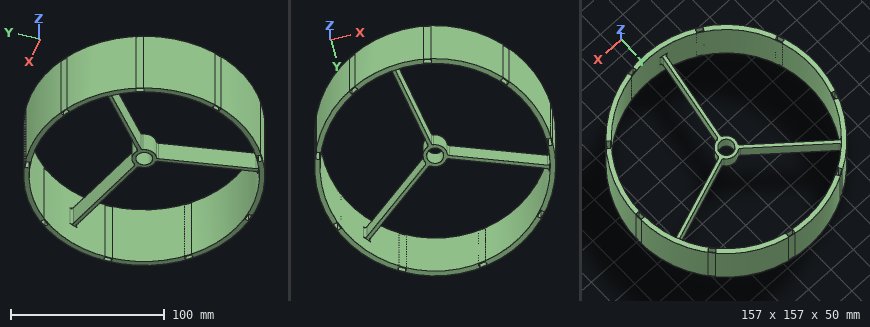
import cadquery as cq
import math

outer_radius = 78.5
height = 50.0
wall = 3.6
inner_radius = outer_radius - wall

slot_count = 9
slot_length = 5.0
slot_depth = 2.5
slot_radius = outer_radius - wall / 2

hub_radius = 8.0
bore_radius = 5.5
hub_height = 15.0
hub_base = (height - hub_height) / 2
spoke_count = 3
spoke_start_angle = 20.0
spoke_width = 2.5
fillet_radius = 1.5


def tube(outside, inside, length):
    return cq.Workplane("XY").circle(outside).circle(inside).extrude(length)


def spoke(angle):
    """Straight spoke from the hub into the ring wall."""
    start = (hub_radius + bore_radius) / 2
    end = inner_radius + wall / 4
    size = (end - start, spoke_width, hub_height)
    bar = cq.Workplane("XY").box(*size, centered=(False, True, False))
    return bar.translate((start, 0, hub_base)).rotate((0, 0, 0), (0, 0, 1), angle)


def spoke_corners():
    """Vertical edges where the spoke sides meet the hub and the ring."""
    half_width = spoke_width / 2
    points = []
    for index in range(spoke_count):
        angle = math.radians(spoke_start_angle + index * 360 / spoke_count)
        for radius in (hub_radius, inner_radius):
            along = math.sqrt(radius**2 - half_width**2)
            for side in (-half_width, half_width):
                x = along * math.cos(angle) - side * math.sin(angle)
                y = along * math.sin(angle) + side * math.cos(angle)
                points.append(cq.Vector(x, y, height / 2))
    return points


def is_spoke_corner(edge, corners):
    return any((edge.Center() - corner).Length < 0.02 for corner in corners)


ring = tube(outer_radius, inner_radius, height)
hub = tube(hub_radius, bore_radius, hub_height).translate((0, 0, hub_base))
body = ring.union(hub)
for index in range(spoke_count):
    body = body.union(spoke(spoke_start_angle + index * 360 / spoke_count))

corners = spoke_corners()
corner_edges = [edge for edge in body.edges("|Z").vals() if is_spoke_corner(edge, corners)]
body = body.newObject(corner_edges).fillet(fillet_radius)

slots = (
    cq.Workplane("XY")
    .polarArray(slot_radius, 0, 360, slot_count)
    .rect(slot_depth, slot_length)
    .extrude(height)
)
result = body.cut(slots)